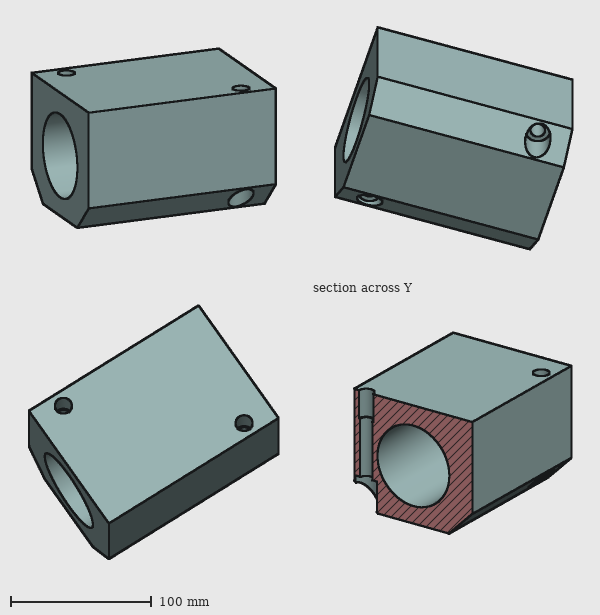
import cadquery as cq

width = 103.0
length = 145.0
height = 92.0
corner_cut = 20.6

bore_diameter = 62.0
bore_height = 45.0

hole_x = 41.0
hole_y = 49.9
hole_diameter = 10.5
top_recess_diameter = 12.0
top_recess_depth = 21.8
head_recess_diameter = 18.0
head_recess_top = 24.6


def block():
    """Rectangular block with both lower long edges cut at 45 degrees."""
    body = cq.Workplane("XY").box(width, length, height, centered=(True, True, False))
    return body.faces("<Z").edges("|Y").chamfer(corner_cut)


def bore():
    """Round bore through the full length."""
    return (
        cq.Workplane("XZ")
        .center(0, bore_height)
        .circle(bore_diameter / 2)
        .extrude(length / 2, both=True)
    )


def vertical_cylinder(x, y, diameter, bottom, top):
    return cq.Workplane("XY", origin=(x, y, bottom)).circle(diameter / 2).extrude(top - bottom)


def screw_hole(x, y):
    """Through hole with a wider top section and a screw head recess opening into the sloped face."""
    through = vertical_cylinder(x, y, hole_diameter, 0, height)
    top_recess = vertical_cylinder(x, y, top_recess_diameter, height - top_recess_depth, height)
    head_recess = vertical_cylinder(x, y, head_recess_diameter, 0, head_recess_top)
    return through.union(top_recess).union(head_recess)


result = block().cut(bore())
for side in (-1, 1):
    result = result.cut(screw_hole(side * hole_x, side * hole_y))